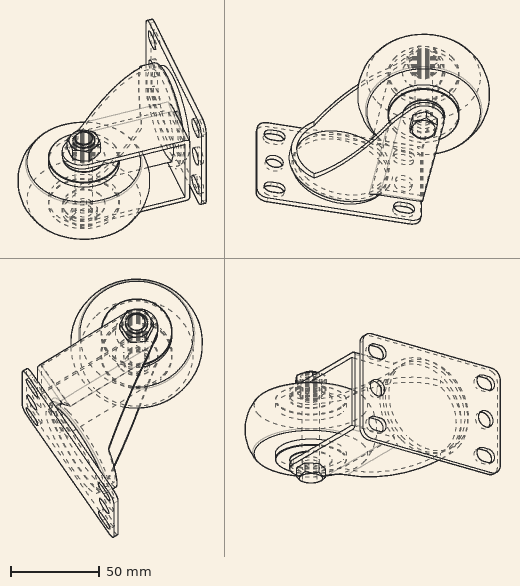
import cadquery as cq
import math

SHEET = 3.0

PLATE_LENGTH = 95.0
PLATE_WIDTH = 65.0
PLATE_CORNER_RADIUS = 6.2
SLOT_SPACING_X = 74.8
SLOT_SPACING_Z = 45.0
SLOT_LENGTH = 12.0
SLOT_WIDTH = 8.4
ROUND_HOLE_DIAMETER = 10.0
NECK_RADIUS = 27.5
NECK_END_Y = -6.5

WHEEL_RADIUS = 37.4
TOTAL_LENGTH = 119.9
AXLE_X = TOTAL_LENGTH - PLATE_LENGTH / 2 - WHEEL_RADIUS
AXLE_Y = -69.1

FORK_CROWN_RADIUS = 30.0
FORK_HALF_WIDTH = 24.0
FORK_CAVITY_RADIUS = FORK_CROWN_RADIUS - SHEET
FORK_INNER_HALF_WIDTH = FORK_HALF_WIDTH - SHEET
FORK_BLEND_RADIUS = 12.5
FORK_BACK_X = 46.4
CROWN_TOP_Y = NECK_END_Y
CROWN_EDGE_FILLET = 1.0
STEP_Y = CROWN_TOP_Y - SHEET
ARM_EDGE_FILLET = 2.2
STEP_FILLET = 1.4
ARM_END_RADIUS = 11.3
ARM_END_X = FORK_BACK_X - ARM_END_RADIUS
ARM_END_Y = -70.1
SKIRT_FRONT_Y = -13.7
SKIRT_KNEE_X = -17.3
SKIRT_KNEE_Y = -16.1

TREAD_HALF_WIDTH = 14.9
RIM_RADIUS = 33.0
RIM_CHAMFER = 0.8
HUB_RADIUS = 20.1
HUB_HALF_WIDTH = 18.6
HUB_EDGE_CHAMFER = 0.4
BOSS_RADIUS = 12.0
BOSS_HALF_WIDTH = 19.1

SHANK_RADIUS = 4.9
HEAD_ACROSS_FLATS = 14.1
HEAD_FACE_RADIUS = 6.6
HEAD_HEIGHT = 6.2
TOTAL_WIDTH = 66.5
BOLT_END_Z = TOTAL_WIDTH - PLATE_WIDTH / 2
THREAD_CREST_RADIUS = 6.2
THREAD_PITCH = 1.4
THREAD_RIDGE_WIDTH = 1.3
THREAD_ROOT_OVERLAP = 0.1
THREAD_TURNS = 9
THREAD_END_Z = 33.3
NUT_ACROSS_FLATS = 16.7
NUT_FACE_RADIUS = NUT_ACROSS_FLATS / 2
NUT_HEIGHT = 8.0
HEX_CHAMFER_ANGLE = 30.0


def extrude_down(sketch_plane_y, sketch, depth):
    """Extrude a sketch drawn in X and Z from the given Y level toward -Y."""
    return sketch(cq.Workplane("XZ", origin=(0, sketch_plane_y, 0))).extrude(depth)


def axle_cylinder(radius, z_from, z_to):
    """Cylinder on the wheel axle between two Z levels."""
    return (
        cq.Workplane("XY", origin=(AXLE_X, AXLE_Y, z_from))
        .circle(radius)
        .extrude(z_to - z_from)
    )


def make_plate():
    plate = (
        cq.Workplane("XZ")
        .rect(PLATE_LENGTH, PLATE_WIDTH)
        .extrude(SHEET)
        .edges("|Y")
        .fillet(PLATE_CORNER_RADIUS)
    )
    slots = (
        cq.Workplane("XZ")
        .rect(SLOT_SPACING_X, SLOT_SPACING_Z, forConstruction=True)
        .vertices()
        .slot2D(SLOT_LENGTH, SLOT_WIDTH)
        .extrude(SHEET)
    )
    round_holes = (
        cq.Workplane("XZ")
        .pushPoints([(-SLOT_SPACING_X / 2, 0), (SLOT_SPACING_X / 2, 0)])
        .circle(ROUND_HOLE_DIAMETER / 2)
        .extrude(SHEET)
    )
    neck = cq.Workplane("XZ").circle(NECK_RADIUS).extrude(-NECK_END_Y)
    return plate.cut(slots).cut(round_holes).union(neck)


def fork_outline(workplane):
    """Keyhole outline: round crown, blended on both sides into the parallel arms."""
    bend_z = FORK_HALF_WIDTH + FORK_BLEND_RADIUS
    bend_distance = FORK_CROWN_RADIUS + FORK_BLEND_RADIUS
    bend_x = math.sqrt(bend_distance**2 - bend_z**2)
    crown_share = FORK_CROWN_RADIUS / bend_distance
    touch_x = bend_x * crown_share
    touch_z = bend_z * crown_share
    half_turn = math.atan2(bend_x, bend_z) / 2
    middle_x = bend_x - FORK_BLEND_RADIUS * math.sin(half_turn)
    middle_z = bend_z - FORK_BLEND_RADIUS * math.cos(half_turn)
    return (
        workplane.moveTo(FORK_BACK_X, -FORK_HALF_WIDTH)
        .lineTo(FORK_BACK_X, FORK_HALF_WIDTH)
        .lineTo(bend_x, FORK_HALF_WIDTH)
        .threePointArc((middle_x, middle_z), (touch_x, touch_z))
        .threePointArc((-FORK_CROWN_RADIUS, 0), (touch_x, -touch_z))
        .threePointArc((middle_x, -middle_z), (bend_x, -FORK_HALF_WIDTH))
        .close()
    )


def fork_side_profile():
    """Side outline of the fork in X and Y, swept across its full width."""
    knee_to_end_x = ARM_END_X - SKIRT_KNEE_X
    knee_to_end_y = ARM_END_Y - SKIRT_KNEE_Y
    knee_to_end = math.hypot(knee_to_end_x, knee_to_end_y)
    line_angle = math.atan2(knee_to_end_y, knee_to_end_x) - math.asin(ARM_END_RADIUS / knee_to_end)
    normal_angle = line_angle - math.pi / 2
    arc_middle_angle = normal_angle / 2

    def on_arm_end(angle):
        return (
            ARM_END_X + ARM_END_RADIUS * math.cos(angle),
            ARM_END_Y + ARM_END_RADIUS * math.sin(angle),
        )

    return (
        cq.Workplane("XY")
        .moveTo(-FORK_CROWN_RADIUS, CROWN_TOP_Y)
        .lineTo(-FORK_CROWN_RADIUS, SKIRT_FRONT_Y)
        .lineTo(SKIRT_KNEE_X, SKIRT_KNEE_Y)
        .lineTo(*on_arm_end(normal_angle))
        .threePointArc(on_arm_end(arc_middle_angle), on_arm_end(0))
        .lineTo(FORK_BACK_X, CROWN_TOP_Y)
        .close()
        .extrude(FORK_CROWN_RADIUS, both=True)
    )


def step_flare(arm_top):
    """Concave fillet around the crown, standing on the flat top face of the arms."""
    flare_radius = FORK_CROWN_RADIUS + STEP_FILLET
    flare_bend = STEP_FILLET * (1 - math.sqrt(0.5))
    ring = (
        cq.Workplane("XY")
        .moveTo(0, STEP_Y)
        .lineTo(0, STEP_Y + STEP_FILLET)
        .lineTo(FORK_CROWN_RADIUS, STEP_Y + STEP_FILLET)
        .threePointArc((FORK_CROWN_RADIUS + flare_bend, STEP_Y + flare_bend), (flare_radius, STEP_Y))
        .close()
        .revolve(360, (0, 0, 0), (0, 1, 0))
    )
    above_arms = cq.Solid.extrudeLinear(arm_top, cq.Vector(0, STEP_FILLET, 0))
    return ring.intersect(cq.Workplane(above_arms))


def make_fork():
    depth = ARM_END_RADIUS - ARM_END_Y
    arms = extrude_down(STEP_Y, fork_outline, depth)
    arms = arms.faces(">Y").edges("not(|Z)").fillet(ARM_EDGE_FILLET)
    crown = extrude_down(CROWN_TOP_Y, lambda plane: plane.circle(FORK_CROWN_RADIUS), depth)
    crown = crown.faces(">Y").edges().fillet(CROWN_EDGE_FILLET)
    flare = step_flare(arms.faces(">Y").val())
    cavity = extrude_down(STEP_Y, lambda plane: plane.circle(FORK_CAVITY_RADIUS), depth)
    between_arms = extrude_down(
        STEP_Y - SHEET,
        lambda plane: plane.center(FORK_BACK_X / 2, 0).rect(FORK_BACK_X, 2 * FORK_INNER_HALF_WIDTH),
        depth,
    )
    shank_hole = axle_cylinder(SHANK_RADIUS, -FORK_HALF_WIDTH, 0)
    thread_hole = axle_cylinder(THREAD_CREST_RADIUS, 0, FORK_HALF_WIDTH)
    fork = arms.union(crown).union(flare).intersect(fork_side_profile())
    return fork.cut(cavity).cut(between_arms).cut(shank_hole).cut(thread_hole)


def make_wheel():
    shoulder_z = TREAD_HALF_WIDTH - RIM_CHAMFER
    tread = (
        cq.Workplane("XZ", origin=(AXLE_X, AXLE_Y, 0))
        .moveTo(0, -TREAD_HALF_WIDTH)
        .lineTo(RIM_RADIUS - RIM_CHAMFER, -TREAD_HALF_WIDTH)
        .lineTo(RIM_RADIUS, -shoulder_z)
        .threePointArc((WHEEL_RADIUS, 0), (RIM_RADIUS, shoulder_z))
        .lineTo(RIM_RADIUS - RIM_CHAMFER, TREAD_HALF_WIDTH)
        .lineTo(0, TREAD_HALF_WIDTH)
        .close()
        .revolve(360, (0, 0, 0), (0, 1, 0))
    )
    hub = axle_cylinder(HUB_RADIUS, -HUB_HALF_WIDTH, HUB_HALF_WIDTH)
    hub = hub.faces("|Z").edges().chamfer(HUB_EDGE_CHAMFER)
    boss = axle_cylinder(BOSS_RADIUS, -BOSS_HALF_WIDTH, BOSS_HALF_WIDTH)
    bore = axle_cylinder(SHANK_RADIUS, -BOSS_HALF_WIDTH, BOSS_HALF_WIDTH)
    return tread.union(hub).union(boss).cut(bore)


def hexagon(across_flats, height, corner_angle):
    """Hexagonal prism on the axle, standing on Z = 0, with one corner at the given angle."""
    across_corners = across_flats / math.cos(math.pi / 6)
    return (
        cq.Workplane("XY")
        .polygon(6, across_corners)
        .extrude(height)
        .rotate((0, 0, 0), (0, 0, 1), corner_angle)
        .translate((AXLE_X, AXLE_Y, 0))
    )


def chamfer_cone(across_flats, height, face_radius):
    """Solid cone over a hexagonal prism that trims its top corners down to a round end face."""
    corner_radius = across_flats / 2 / math.cos(math.pi / 6)
    slope = math.tan(math.radians(HEX_CHAMFER_ANGLE))
    drop = (corner_radius - face_radius) * slope
    return (
        cq.Workplane("XZ", origin=(AXLE_X, AXLE_Y, 0))
        .lineTo(corner_radius, 0)
        .lineTo(corner_radius, height - drop)
        .lineTo(face_radius, height)
        .lineTo(0, height)
        .close()
        .revolve(360, (0, 0, 0), (0, 1, 0))
    )


def turned_over(body, height):
    """Swap the two ends of a body that stands on Z = 0 around the axle."""
    half_height = height / 2
    return body.rotate((AXLE_X, AXLE_Y, half_height), (AXLE_X + 1.2, AXLE_Y, half_height), 180)


def make_thread():
    """Triangular ridge wound around the shank, ending just short of the bolt end."""
    length = THREAD_PITCH * THREAD_TURNS
    half_base = THREAD_RIDGE_WIDTH / 2
    root_radius = SHANK_RADIUS - THREAD_ROOT_OVERLAP
    helix = cq.Wire.makeHelix(THREAD_PITCH, length, root_radius)
    ridge = (
        cq.Workplane("XZ")
        .moveTo(root_radius, -half_base)
        .lineTo(THREAD_CREST_RADIUS, 0)
        .lineTo(root_radius, half_base)
        .close()
        .sweep(cq.Workplane(helix), isFrenet=True)
    )
    ridge = ridge.rotate((0, 0, 0), (0, 0, 1), 180)
    return ridge.translate((AXLE_X, AXLE_Y, THREAD_END_Z - length))


def make_bolt():
    head = hexagon(HEAD_ACROSS_FLATS, HEAD_HEIGHT, 90)
    head = head.intersect(chamfer_cone(HEAD_ACROSS_FLATS, HEAD_HEIGHT, HEAD_FACE_RADIUS))
    head = turned_over(head, HEAD_HEIGHT).translate((0, 0, -FORK_HALF_WIDTH - HEAD_HEIGHT))
    shank = axle_cylinder(SHANK_RADIUS, -FORK_HALF_WIDTH, BOLT_END_Z)
    return head.union(shank).union(make_thread())


def make_nut():
    nut = hexagon(NUT_ACROSS_FLATS, NUT_HEIGHT, 0)
    cone = chamfer_cone(NUT_ACROSS_FLATS, NUT_HEIGHT, NUT_FACE_RADIUS)
    nut = nut.intersect(cone).intersect(turned_over(cone, NUT_HEIGHT))
    nut = nut.translate((0, 0, FORK_HALF_WIDTH))
    return nut.cut(axle_cylinder(THREAD_CREST_RADIUS, FORK_HALF_WIDTH, BOLT_END_Z))


plate = make_plate()
fork = make_fork()
wheel = make_wheel()
bolt = make_bolt()
nut = make_nut()

result = cq.Compound.makeCompound([plate.val(), fork.val(), wheel.val(), bolt.val(), nut.val()])